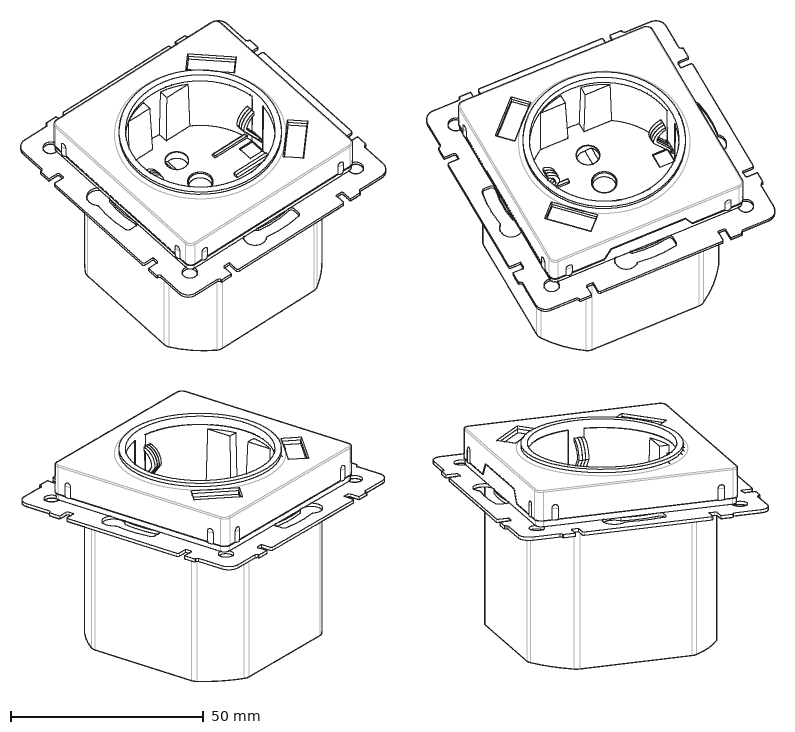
import cadquery as cq
import math

TOTAL_HEIGHT = 52.07
TOP_Z = 12.2
BODY_BOTTOM_Z = TOP_Z - TOTAL_HEIGHT
PLATE_THICKNESS = 0.9
COVER_BOTTOM_Z = 2.55
RING_HEIGHT = 1.4
COVER_TOP_Z = TOP_Z - RING_HEIGHT

PLATE_HALF = 35.4
CORNER_HALF = 34.5
PLATE_CORNER_RADIUS = 3.0
STEP_START = 23.5
STEP_RUN = 0.5
STEP_LAND = 0.4
NOTCH_CENTER = 19.1
NOTCH_WIDTH = 2.05
NOTCH_DEPTH = 3.3
NOTCH_ROUNDING = 0.5
CORNER_HOLE_CENTER = 28.1
CORNER_HOLE_RADIUS = 2.0

SLOT_INNER_RADIUS = 28.25
SLOT_OUTER_RADIUS = 31.9
SLOT_HALF_LENGTH = 6.8
SLOT_END_ROUNDING = 1.0
KEYHOLE_RADIUS = 3.0
KEYHOLE_OFFSET = 7.2
KEYHOLE_DISTANCE = 29.5

BODY_HALF = 26.2
BODY_CORNER_RADIUS = 30.85
BODY_EDGE_ROUNDING = 2.7

COVER_HALF = 28.0
COVER_CORNER_RADIUS = 1.8
COVER_EDGE_ROUNDING = 0.35
PLINTH_HALF = 27.75
PLINTH_CORNER_RADIUS = 1.6
RIB_OFFSET = 23.0
RIB_WIDTH = 1.85
RIB_PROJECTION = 0.35
RIB_STRAIGHT_HEIGHT = 3.2
WINDOW_BOTTOM_HALF = 12.7
WINDOW_TOP_HALF = 10.75
WINDOW_HEIGHT = 3.5

SOCKET_Y = -1.0
RING_OUTER_RADIUS = 21.1
RING_FOOT_RADIUS = 22.27
RING_STRAIGHT_HEIGHT = 0.92
LIP_RADIUS = 19.4
WELL_RADIUS = 19.75
WELL_FLOOR_RADIUS = 19.45
WELL_LIP_HEIGHT = 2.4
WELL_DEPTH = 19.95
FLOOR_Z = TOP_Z - WELL_DEPTH

BLOCK_TOP_X = 16.95
BLOCK_FOOT_X = 16.5
BLOCK_TOP_DEPTH = 3.8
GUIDE_NOTCH_TOP_HALF = 2.88
GUIDE_NOTCH_FOOT_HALF = 2.31

PIN_SPACING = 19.0
PIN_HOLE_RADIUS = 3.0
PIN_HOLE_DEPTH = 2.5
SHUTTER_STEP_DEPTH = 1.0
SHUTTER_RAMP_TOP = -2.1
SHUTTER_RAMP_FOOT = -0.6
SCREW_RECESS_RADIUS = 3.1
SCREW_RECESS_DEPTH = 2.0
PIN_HOLE_CHAMFER = 0.1
SCREW_RECESS_CHAMFER = 0.25
FLOOR_RIB_INNER_X = 3.8
FLOOR_RIB_OUTER_X = 5.1
FLOOR_RIB_START = 8.2
FLOOR_RIB_HEIGHT = 0.8
FLOOR_RIB_BEVEL = 0.4

SEAT_HALF_WIDTH = 2.2
SEAT_START = 15.1
SEAT_DEPTH = 0.5
CONTACT_WIDTH = 2.76
CONTACT_FOOT_WIDTH = 3.5
CONTACT_FOOT_START = 18.7
CONTACT_THICKNESS = 1.2
CONTACT_CREST_WIDTH = 0.86
CONTACT_EDGE_DROP = 0.08
CONTACT_EMBED = 0.4
CONTACT_ROOT_DEPTH = 17.8
CONTACT_BEND = (13.5, 9.0)
CONTACT_MIDDLE = (14.1, 6.2)
CONTACT_TIP = (17.1, 3.9)

PORT_X = 17.05
PORT_Y = 16.96
PORT_LENGTH = 12.75
PORT_WIDTH = 5.4
PORT_DEPTH = 1.75
PORT_RIM_DEPTH = 0.7
PORT_RIM_INSET = 0.25
PORT_ANGLE = 45


def mirror_four(quarter):
    """Return points of a closed outline from the points of its +X +Y quarter, listed from X to Y."""
    first = quarter
    second = [(-x, y) for x, y in reversed(quarter)]
    third = [(-x, -y) for x, y in quarter]
    fourth = [(x, -y) for x, y in reversed(quarter)]
    return first + second + third + fourth


def rounded_square(half, radius, bottom, top):
    block = cq.Workplane("XY").workplane(offset=bottom).rect(2 * half, 2 * half).extrude(top - bottom)
    return block.edges("|Z").fillet(radius)


def make_screw_slot():
    """Curved keyhole slot on the +Y side, with the round entry towards -X."""
    slot = (
        cq.Workplane("XY").circle(SLOT_OUTER_RADIUS).circle(SLOT_INNER_RADIUS).extrude(PLATE_THICKNESS)
    )
    window = (
        cq.Workplane("XY")
        .center((SLOT_HALF_LENGTH - KEYHOLE_OFFSET) / 2, KEYHOLE_DISTANCE)
        .rect(SLOT_HALF_LENGTH + KEYHOLE_OFFSET, 3 * KEYHOLE_RADIUS)
        .extrude(PLATE_THICKNESS)
    )
    slot = slot.intersect(window).edges("|Z and >X").fillet(SLOT_END_ROUNDING)
    entry = (
        cq.Workplane("XY")
        .center(-KEYHOLE_OFFSET, KEYHOLE_DISTANCE)
        .circle(KEYHOLE_RADIUS)
        .extrude(PLATE_THICKNESS)
    )
    return slot.union(entry)


def make_plate():
    step_side = [
        (PLATE_HALF, STEP_START),
        (PLATE_HALF - STEP_LAND, STEP_START),
        (CORNER_HALF, STEP_START + STEP_RUN),
    ]
    step_top = [(y, x) for x, y in reversed(step_side)]
    quarter = step_side + [(CORNER_HALF, CORNER_HALF)] + step_top
    plate = cq.Workplane("XY").polyline(mirror_four(quarter)).close().extrude(PLATE_THICKNESS)
    corner_box = cq.selectors.BoxSelector
    reach = PLATE_CORNER_RADIUS / 2
    for x_sign in (-1, 1):
        for y_sign in (-1, 1):
            low = (x_sign * CORNER_HALF - reach, y_sign * CORNER_HALF - reach, -reach)
            high = (x_sign * CORNER_HALF + reach, y_sign * CORNER_HALF + reach, 2 * reach)
            plate = plate.edges(corner_box(low, high)).edges("|Z").fillet(PLATE_CORNER_RADIUS)

    notch_inner = NOTCH_CENTER - NOTCH_WIDTH / 2
    notch_outer = NOTCH_CENTER + NOTCH_WIDTH / 2
    notch_floor = PLATE_HALF - NOTCH_DEPTH
    notch = (
        cq.Workplane("XY")
        .moveTo(notch_outer, PLATE_HALF)
        .lineTo(notch_outer, notch_floor + NOTCH_ROUNDING)
        .radiusArc((notch_outer - NOTCH_ROUNDING, notch_floor), NOTCH_ROUNDING)
        .lineTo(notch_inner, notch_floor)
        .lineTo(notch_inner, PLATE_HALF - NOTCH_ROUNDING)
        .radiusArc((notch_inner - NOTCH_ROUNDING, PLATE_HALF), -NOTCH_ROUNDING)
        .close()
        .extrude(PLATE_THICKNESS)
    )
    for angle in (0, 90, 180, 270):
        plate = plate.cut(notch.rotate((0, 0, 0), (0, 0, 1), angle))
        plate = plate.cut(notch.mirror("YZ").rotate((0, 0, 0), (0, 0, 1), angle))

    corner_holes = (
        cq.Workplane("XY")
        .rect(2 * CORNER_HOLE_CENTER, 2 * CORNER_HOLE_CENTER, forConstruction=True)
        .vertices()
        .circle(CORNER_HOLE_RADIUS)
        .extrude(PLATE_THICKNESS)
    )
    top_slot = make_screw_slot()
    left_slot = top_slot.mirror("YZ").rotate((0, 0, 0), (0, 0, 1), 90)
    right_slot = left_slot.rotate((0, 0, 0), (0, 0, 1), 180)
    plate = plate.cut(corner_holes).cut(top_slot).cut(top_slot.mirror("XZ"))
    return plate.cut(left_slot).cut(right_slot)


def make_body():
    """Square body whose corners follow one circle about the Z axis."""
    square = (
        cq.Workplane("XY")
        .workplane(offset=BODY_BOTTOM_Z)
        .rect(2 * BODY_HALF, 2 * BODY_HALF)
        .extrude(-BODY_BOTTOM_Z)
    )
    cylinder = (
        cq.Workplane("XY")
        .workplane(offset=BODY_BOTTOM_Z)
        .circle(BODY_CORNER_RADIUS)
        .extrude(-BODY_BOTTOM_Z)
    )
    return square.intersect(cylinder).edges("|Z").fillet(BODY_EDGE_ROUNDING)


def make_cover_rib():
    """Upright round-topped rib that stands out of the +Y face of the cover."""
    half_width = RIB_WIDTH / 2
    radius = (half_width**2 + RIB_PROJECTION**2) / (2 * RIB_PROJECTION)
    axis_y = COVER_HALF + RIB_PROJECTION - radius
    rib = (
        cq.Workplane("XY")
        .workplane(offset=COVER_BOTTOM_Z)
        .center(RIB_OFFSET, axis_y)
        .circle(radius)
        .extrude(RIB_STRAIGHT_HEIGHT)
    )
    tip_center = (RIB_OFFSET, axis_y, COVER_BOTTOM_Z + RIB_STRAIGHT_HEIGHT)
    return rib.union(cq.Workplane("XY").sphere(radius).translate(tip_center))


def make_cover():
    cover = rounded_square(COVER_HALF, COVER_CORNER_RADIUS, COVER_BOTTOM_Z, COVER_TOP_Z)
    cover = cover.faces(">Z").edges().fillet(COVER_EDGE_ROUNDING)
    plinth = rounded_square(PLINTH_HALF, PLINTH_CORNER_RADIUS, PLATE_THICKNESS, COVER_BOTTOM_Z)
    window = (
        cq.Workplane("YZ")
        .workplane(offset=-COVER_HALF)
        .moveTo(-WINDOW_BOTTOM_HALF, COVER_BOTTOM_Z)
        .lineTo(WINDOW_BOTTOM_HALF, COVER_BOTTOM_Z)
        .lineTo(WINDOW_TOP_HALF, COVER_BOTTOM_Z + WINDOW_HEIGHT)
        .lineTo(-WINDOW_TOP_HALF, COVER_BOTTOM_Z + WINDOW_HEIGHT)
        .close()
        .extrude(COVER_HALF - PLINTH_HALF)
    )
    cover = cover.cut(window).union(plinth)
    rib = make_cover_rib()
    for angle in (0, 90, 180, 270):
        cover = cover.union(rib.rotate((0, 0, 0), (0, 0, 1), angle))
        cover = cover.union(rib.mirror("YZ").rotate((0, 0, 0), (0, 0, 1), angle))
    return cover


def make_port(side):
    """Slanted rectangular pocket with a drafted rim above straight walls."""
    rim_taper = math.degrees(math.atan(PORT_RIM_INSET / PORT_RIM_DEPTH))
    rim = cq.Workplane("XY").rect(PORT_LENGTH, PORT_WIDTH).extrude(-PORT_RIM_DEPTH, taper=rim_taper)
    pocket_size = (PORT_LENGTH - 2 * PORT_RIM_INSET, PORT_WIDTH - 2 * PORT_RIM_INSET)
    pocket = cq.Workplane("XY").rect(*pocket_size).extrude(-PORT_DEPTH)
    port = rim.union(pocket).rotate((0, 0, 0), (0, 0, 1), -side * PORT_ANGLE)
    return port.translate((side * PORT_X, PORT_Y, COVER_TOP_Z))


def make_ring():
    """Collar around the well, with a concave foot that runs out onto the cover."""
    foot_run = RING_FOOT_RADIUS - RING_OUTER_RADIUS
    foot_rise = RING_HEIGHT - RING_STRAIGHT_HEIGHT
    foot_radius = (foot_run**2 + foot_rise**2) / (2 * foot_rise)
    profile = (
        cq.Workplane("XZ")
        .moveTo(0, COVER_BOTTOM_Z)
        .lineTo(RING_FOOT_RADIUS, COVER_BOTTOM_Z)
        .lineTo(RING_FOOT_RADIUS, COVER_TOP_Z)
        .radiusArc((RING_OUTER_RADIUS, TOP_Z - RING_STRAIGHT_HEIGHT), foot_radius)
        .lineTo(RING_OUTER_RADIUS, TOP_Z)
        .lineTo(0, TOP_Z)
        .close()
    )
    return profile.revolve(360, (0, 0, 0), (0, 1, 0))


def make_guide_block(side):
    """Drafted block on one side of the well, split by a notch that narrows towards the floor."""
    block_top_z = TOP_Z - BLOCK_TOP_DEPTH
    block = (
        cq.Workplane("XZ")
        .moveTo(side * BLOCK_FOOT_X, FLOOR_Z)
        .lineTo(side * WELL_RADIUS, FLOOR_Z)
        .lineTo(side * WELL_RADIUS, block_top_z)
        .lineTo(side * BLOCK_TOP_X, block_top_z)
        .close()
        .extrude(WELL_RADIUS, both=True)
    )
    notch = (
        cq.Workplane("YZ")
        .moveTo(-GUIDE_NOTCH_FOOT_HALF, FLOOR_Z)
        .lineTo(GUIDE_NOTCH_FOOT_HALF, FLOOR_Z)
        .lineTo(GUIDE_NOTCH_TOP_HALF, block_top_z)
        .lineTo(-GUIDE_NOTCH_TOP_HALF, block_top_z)
        .close()
        .extrude(WELL_RADIUS, both=True)
    )
    return block.cut(notch)


def make_contact_seat(side):
    """Flat pocket in the floor below an earth contact."""
    length = LIP_RADIUS - SEAT_START
    return (
        cq.Workplane("XY")
        .workplane(offset=FLOOR_Z - SEAT_DEPTH)
        .center(0, side * (SEAT_START + length / 2))
        .rect(2 * SEAT_HALF_WIDTH, length)
        .extrude(SEAT_DEPTH)
    )


def make_well():
    """Cavity of the socket, about the Z axis, with the guide blocks left standing."""
    lip_z = TOP_Z - WELL_LIP_HEIGHT
    well = (
        cq.Workplane("XZ")
        .moveTo(0, FLOOR_Z)
        .lineTo(WELL_FLOOR_RADIUS, FLOOR_Z)
        .lineTo(WELL_RADIUS, lip_z)
        .lineTo(LIP_RADIUS, lip_z)
        .lineTo(LIP_RADIUS, TOP_Z)
        .lineTo(0, TOP_Z)
        .close()
        .revolve(360, (0, 0, 0), (0, 1, 0))
    )
    contact_backing = (
        cq.Workplane("XY")
        .workplane(offset=FLOOR_Z)
        .rect(2 * SEAT_HALF_WIDTH, 3 * WELL_RADIUS)
        .extrude(WELL_DEPTH)
        .cut(cq.Workplane("XY").workplane(offset=FLOOR_Z).circle(LIP_RADIUS).extrude(WELL_DEPTH))
    )
    well = well.cut(contact_backing)
    for side in (-1, 1):
        well = well.cut(make_guide_block(side)).union(make_contact_seat(side))
    return well


def make_floor_recess(x, radius, depth, chamfer):
    """Round recess in the well floor with a bevelled rim."""
    recess = cq.Workplane("XY").workplane(offset=FLOOR_Z - depth).circle(radius).extrude(depth)
    rim = (
        cq.Workplane("XZ")
        .moveTo(0, FLOOR_Z - chamfer)
        .lineTo(radius, FLOOR_Z - chamfer)
        .lineTo(radius + chamfer, FLOOR_Z)
        .lineTo(0, FLOOR_Z)
        .close()
        .revolve(360, (0, 0, 0), (0, 1, 0))
    )
    return recess.union(rim).translate((x, 0, 0))


def make_pin_hole(x):
    """Pin hole closed by a shutter whose face steps down over a ramp."""
    hole = make_floor_recess(x, PIN_HOLE_RADIUS, PIN_HOLE_DEPTH, PIN_HOLE_CHAMFER)
    shutter = (
        cq.Workplane("YZ")
        .workplane(offset=x)
        .moveTo(-2 * PIN_HOLE_RADIUS, FLOOR_Z - PIN_HOLE_DEPTH)
        .lineTo(SHUTTER_RAMP_FOOT, FLOOR_Z - PIN_HOLE_DEPTH)
        .lineTo(SHUTTER_RAMP_TOP, FLOOR_Z - SHUTTER_STEP_DEPTH)
        .lineTo(-2 * PIN_HOLE_RADIUS, FLOOR_Z - SHUTTER_STEP_DEPTH)
        .close()
        .extrude(2 * PIN_HOLE_RADIUS, both=True)
    )
    return hole.cut(shutter)


def make_floor_rib():
    """Low rib on the floor at +X, with a bevelled outer edge."""
    rib_top_z = FLOOR_Z + FLOOR_RIB_HEIGHT
    return (
        cq.Workplane("XZ")
        .moveTo(FLOOR_RIB_INNER_X, FLOOR_Z)
        .lineTo(FLOOR_RIB_OUTER_X, FLOOR_Z)
        .lineTo(FLOOR_RIB_OUTER_X - FLOOR_RIB_BEVEL, rib_top_z)
        .lineTo(FLOOR_RIB_INNER_X, rib_top_z)
        .close()
        .extrude(-(WELL_RADIUS - FLOOR_RIB_START))
        .translate((0, FLOOR_RIB_START, 0))
    )


def make_contact():
    """Bent spring strip on the +Y side, running from the wall inwards and back up to its tip."""
    root_y = LIP_RADIUS + CONTACT_EMBED
    root = (root_y, TOP_Z - CONTACT_ROOT_DEPTH)
    bend, middle, tip = [(y, TOP_Z - depth) for y, depth in (CONTACT_BEND, CONTACT_MIDDLE, CONTACT_TIP)]

    def strip(width, inset):
        """Strip of one width whose inner and outer face lie an inset below the crest."""
        thickness = CONTACT_THICKNESS - inset
        return (
            cq.Workplane("YZ")
            .moveTo(root[0], root[1])
            .lineTo(bend[0] + inset, bend[1])
            .threePointArc((middle[0] + inset, middle[1] - inset / 2), (tip[0], tip[1] - inset))
            .lineTo(tip[0], tip[1] - thickness)
            .threePointArc((middle[0] + thickness, middle[1] - thickness / 2), (bend[0] + thickness, bend[1]))
            .lineTo(root[0], root[1] + thickness)
            .close()
            .extrude(width / 2, both=True)
        )

    contact = strip(CONTACT_WIDTH, CONTACT_EDGE_DROP).union(strip(CONTACT_CREST_WIDTH, 0))
    foot = strip(CONTACT_FOOT_WIDTH, 0)
    foot_bounds = (
        cq.Workplane("XY")
        .center(0, (CONTACT_FOOT_START + root_y) / 2)
        .rect(CONTACT_FOOT_WIDTH, root_y - CONTACT_FOOT_START)
        .extrude(WELL_DEPTH, both=True)
    )
    return contact.union(foot.intersect(foot_bounds))


def at_socket(shape):
    return shape.translate((0, SOCKET_Y, 0))


result = make_body().union(make_plate()).union(make_cover())
result = result.union(at_socket(make_ring()))

for port_side in (-1, 1):
    result = result.cut(make_port(port_side))

result = result.cut(at_socket(make_well()))
screw_recess = make_floor_recess(0, SCREW_RECESS_RADIUS, SCREW_RECESS_DEPTH, SCREW_RECESS_CHAMFER)
result = result.cut(at_socket(screw_recess))
for pin_x in (-PIN_SPACING / 2, PIN_SPACING / 2):
    result = result.cut(at_socket(make_pin_hole(pin_x)))

floor_rib = make_floor_rib()
contact_strip = make_contact()
for added in (floor_rib, floor_rib.mirror("YZ"), contact_strip, contact_strip.mirror("XZ")):
    result = result.union(at_socket(added))